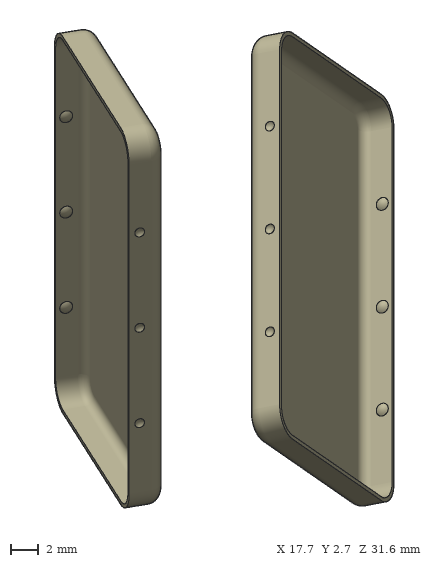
import cadquery as cq
import math

width = 17.7
depth = 2.7
height = 31.6

wall = 0.3
corner_radius = 2.0
edge_radius = 1.0

dent_radius = 0.37
dimple_depth = 0.175
dimple_pitch = 8.0
dimple_count = 3
dimple_rim_distance = 0.8

dent_sphere_radius = (dent_radius**2 + dimple_depth**2) / (2 * dimple_depth)
bump_sphere_radius = dent_sphere_radius + wall

rim_y = -depth / 2
back_y = depth / 2


def rounded_block(inset):
    """Block with rounded corners and a rounded back edge, set in from the outer skin."""
    return (
        cq.Workplane("XZ", origin=(0, back_y - inset, 0))
        .rect(width - 2 * inset, height - 2 * inset)
        .extrude(depth - inset)
        .edges("|Y")
        .fillet(corner_radius - inset)
        .faces(">Y")
        .edges()
        .fillet(edge_radius - inset)
    )


def dimple_caps(base_inset, sphere_radius):
    """Spherical caps pointing inwards on both long walls, one for each dimple.

    The flat base of each cap lies base_inset inside the outer face of its wall.
    """
    base_x = width / 2 - base_inset
    base_radius = math.sqrt(sphere_radius**2 - (sphere_radius - dimple_depth) ** 2)
    cap = (
        cq.Workplane("XY")
        .moveTo(base_x, 0)
        .lineTo(base_x - dimple_depth, 0)
        .radiusArc((base_x, base_radius), sphere_radius)
        .close()
        .revolve(360, (0, 0, 0), (1, 0, 0))
    )
    dimple_y = rim_y + dimple_rim_distance
    lowest_z = -(dimple_count - 1) * dimple_pitch / 2
    caps = []
    for index in range(dimple_count):
        placed = cap.translate((0, dimple_y, lowest_z + index * dimple_pitch))
        caps.append(placed)
        caps.append(placed.mirror("YZ"))
    return caps


result = rounded_block(0).cut(rounded_block(wall))
for bump in dimple_caps(wall, bump_sphere_radius):
    result = result.union(bump)
for dent in dimple_caps(0, dent_sphere_radius):
    result = result.cut(dent)